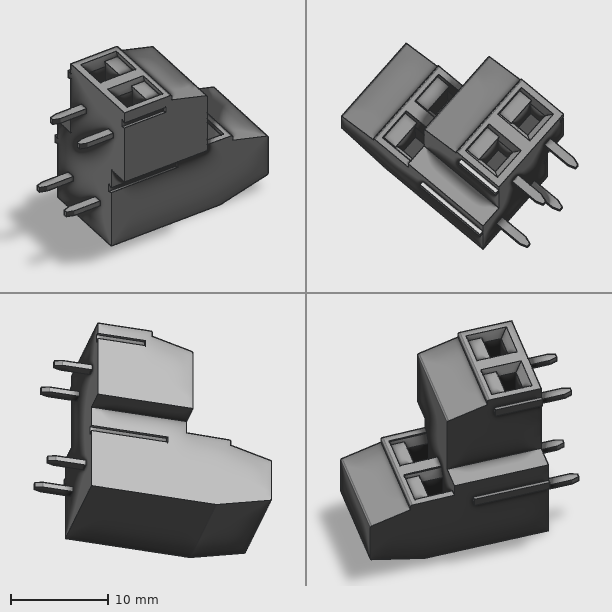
import cadquery as cq
import math

TIER_WIDTH = 10.2
POLES = 2
POLE_PITCH = TIER_WIDTH / POLES
TIER_SHIFT_X = 2.5
TIER_SHIFT_Y = 9.07

OVERALL_DEPTH = 23.2
TOP_Z = 18.5
SPLIT_Z = 9.7
BACK_Y = 19.2
UPPER_BACK_Y = BACK_Y - TIER_SHIFT_Y

UPPER_STEP_Y = 5.8
LOWER_STEP_Y = UPPER_STEP_Y + TIER_SHIFT_Y
STEP_HEIGHT = 0.63
SLOPE = math.radians(15)
BACK_DROP = (UPPER_BACK_Y - UPPER_STEP_Y) * math.tan(SLOPE)
LEDGE_Z = 8.24
LEDGE_TILT = math.radians(1)
LEDGE_FRONT_Z = LEDGE_Z + (LOWER_STEP_Y - UPPER_BACK_Y) * math.tan(LEDGE_TILT)
BELLY_Y = 13.32
BELLY_RISE = (BACK_Y - BELLY_Y) * math.tan(SLOPE)
EDGE_RADIUS = 0.2

FUNNEL_WIDTH = 3.74
FUNNEL_FRONT_Y = 0.8
FUNNEL_BACK_Y = 5.13
FUNNEL_DEPTH = 1.0
FUNNEL_SIDE_INSET = 0.5
FUNNEL_FRONT_INSET = 0.72
CLAMP_FRONT_Y = 3.53
UPPER_CLAMP_DEPTH = 0.5
LOWER_CLAMP_DEPTH = 0.32
LOWER_FUNNEL_Z = 8.12
ENTRY_OVERSHOOT = 0.23
SHAFT_DEPTH = 5.0
SHAFT_DRAFT = math.radians(1)

DOVETAIL_REACH = 0.49
DOVETAIL_TIP = 0.9
DOVETAIL_ROOT = 0.63
UPPER_DOVETAIL_Z = 16.9
UPPER_DOVETAIL_LENGTH = 5.08
LOWER_DOVETAIL_Z = 7.12
LOWER_DOVETAIL_LENGTH = 8.15

PIN_WIDTH = 0.93
PIN_THICKNESS = 0.6
PIN_TIP_WIDTH = 0.42
PIN_TAPER = 0.8
PIN_LENGTH = OVERALL_DEPTH - BACK_Y
PIN_ROOT = 0.23
UPPER_PIN_Z = 14.34
LOWER_PIN_Z = 4.18


def tier(outline, left_x, rounded_corners):
    """Side outline in (y, z) extruded across the tier, with the listed corners rounded."""
    body = cq.Workplane("YZ", origin=(left_x, 0, 0)).polyline(outline).close().extrude(TIER_WIDTH)
    for y, z in rounded_corners:
        edge_middle = (left_x + TIER_WIDTH / 2, y, z)
        body = body.edges(cq.selectors.NearestToPointSelector(edge_middle)).fillet(EDGE_RADIUS)
    return body


def lower_tier():
    bottom_back = (BACK_Y, BELLY_RISE)
    top_back = (BACK_Y, LEDGE_Z - STEP_HEIGHT - BACK_DROP)
    step_top = (LOWER_STEP_Y, LEDGE_Z)
    outline = [
        (0, 0),
        (BELLY_Y, 0),
        bottom_back,
        top_back,
        (LOWER_STEP_Y, LEDGE_Z - STEP_HEIGHT),
        step_top,
        (UPPER_BACK_Y, LEDGE_FRONT_Z),
        (UPPER_BACK_Y, SPLIT_Z),
        (0, SPLIT_Z),
    ]
    return tier(outline, 0, [bottom_back, top_back, step_top])


def upper_tier():
    top_back = (UPPER_BACK_Y, TOP_Z - STEP_HEIGHT - BACK_DROP)
    step_top = (UPPER_STEP_Y, TOP_Z)
    outline = [
        (0, SPLIT_Z),
        (UPPER_BACK_Y, SPLIT_Z),
        top_back,
        (UPPER_STEP_Y, TOP_Z - STEP_HEIGHT),
        step_top,
        (0, TOP_Z),
    ]
    return tier(outline, TIER_SHIFT_X, [top_back, step_top])


def wire_entry(front_y, front_inset, clamp_depth, collar_height):
    """Cutter for one wire entry, centred on x = 0 with its funnel starting at z = 0."""
    mouth_length = FUNNEL_BACK_Y - front_y
    throat_front_y = front_y + front_inset
    throat_width = FUNNEL_WIDTH - 2 * FUNNEL_SIDE_INSET
    funnel = (
        cq.Workplane("XY")
        .center(0, front_y + mouth_length / 2)
        .rect(FUNNEL_WIDTH, mouth_length)
        .workplane(offset=-FUNNEL_DEPTH)
        .center(0, front_inset / 2)
        .rect(throat_width, mouth_length - front_inset)
        .loft(ruled=True)
    )
    collar = (
        cq.Workplane("XY")
        .center(0, front_y + mouth_length / 2)
        .rect(FUNNEL_WIDTH, mouth_length)
        .extrude(collar_height)
    )
    shaft_back_shift = SHAFT_DEPTH * math.tan(SHAFT_DRAFT)
    shaft = (
        cq.Workplane("YZ")
        .polyline([
            (throat_front_y, -clamp_depth),
            (CLAMP_FRONT_Y, -clamp_depth),
            (CLAMP_FRONT_Y - shaft_back_shift, -SHAFT_DEPTH),
            (throat_front_y, -SHAFT_DEPTH),
        ])
        .close()
        .extrude(throat_width / 2, both=True)
    )
    clamp = (
        cq.Workplane("YZ")
        .polyline([
            (CLAMP_FRONT_Y, -clamp_depth),
            (BACK_Y, -clamp_depth),
            (BACK_Y, -SHAFT_DEPTH),
            (CLAMP_FRONT_Y - shaft_back_shift, -SHAFT_DEPTH),
        ])
        .close()
        .extrude(FUNNEL_WIDTH, both=True)
    )
    return funnel.union(collar).cut(clamp).union(shaft)


def dovetail(face_x, centre_z, length):
    """Bar running back from the front face, narrow at face_x and widening towards -X."""
    return (
        cq.Workplane("XZ")
        .polyline([
            (face_x, centre_z - DOVETAIL_ROOT / 2),
            (face_x, centre_z + DOVETAIL_ROOT / 2),
            (face_x - DOVETAIL_REACH, centre_z + DOVETAIL_TIP / 2),
            (face_x - DOVETAIL_REACH, centre_z - DOVETAIL_TIP / 2),
        ])
        .close()
        .extrude(-length)
    )


def pin(centre_x, centre_z):
    """Flat pin pointing to -Y with a tapered tip."""
    half_width = PIN_WIDTH / 2
    half_tip = PIN_TIP_WIDTH / 2
    taper_y = PIN_TAPER - PIN_LENGTH
    return (
        cq.Workplane("XY", origin=(centre_x, 0, centre_z))
        .polyline([
            (-half_width, PIN_ROOT),
            (-half_width, taper_y),
            (-half_tip, -PIN_LENGTH),
            (half_tip, -PIN_LENGTH),
            (half_width, taper_y),
            (half_width, PIN_ROOT),
        ])
        .close()
        .extrude(PIN_THICKNESS / 2, both=True)
    )


def add_tier_features(body, left_x, dovetail_z, dovetail_length, pin_z, entry, entry_y, funnel_z):
    """Adds one tier's ridge, groove, wire entries and pins to the housing."""
    body = body.union(dovetail(left_x, dovetail_z, dovetail_length))
    body = body.cut(dovetail(left_x + TIER_WIDTH, dovetail_z, dovetail_length))
    for pole in range(POLES):
        pole_x = left_x + (pole + 0.5) * POLE_PITCH
        body = body.cut(entry.translate((pole_x, entry_y, funnel_z)))
        body = body.union(pin(pole_x, pin_z))
    return body


lower_entry = wire_entry(
    front_y=UPPER_BACK_Y - TIER_SHIFT_Y,
    front_inset=0,
    clamp_depth=LOWER_CLAMP_DEPTH,
    collar_height=LEDGE_FRONT_Z - LOWER_FUNNEL_Z,
)
upper_entry = wire_entry(
    front_y=FUNNEL_FRONT_Y,
    front_inset=FUNNEL_FRONT_INSET,
    clamp_depth=UPPER_CLAMP_DEPTH,
    collar_height=ENTRY_OVERSHOOT,
)

result = lower_tier().union(upper_tier())
result = add_tier_features(
    result,
    left_x=0,
    dovetail_z=LOWER_DOVETAIL_Z,
    dovetail_length=LOWER_DOVETAIL_LENGTH,
    pin_z=LOWER_PIN_Z,
    entry=lower_entry,
    entry_y=TIER_SHIFT_Y,
    funnel_z=LOWER_FUNNEL_Z,
)
result = add_tier_features(
    result,
    left_x=TIER_SHIFT_X,
    dovetail_z=UPPER_DOVETAIL_Z,
    dovetail_length=UPPER_DOVETAIL_LENGTH,
    pin_z=UPPER_PIN_Z,
    entry=upper_entry,
    entry_y=0,
    funnel_z=TOP_Z,
)